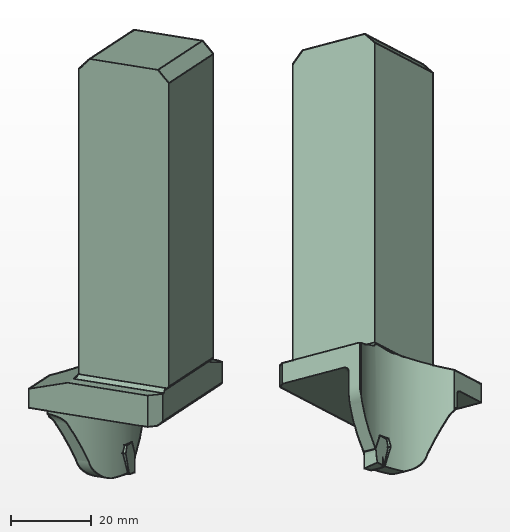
import cadquery as cq
import math

height = 115.6
shank_side = 24.9
shank_x = 11.8
shank_y = 4.0
shank_right = shank_x + shank_side
shank_back = shank_y + shank_side
shank_chamfer = 3.0

head_length = 35.6
head_width = 38.7
head_bottom = 23.5
head_top = 31.7
head_side_height = 28.4
head_back_height = 29.0
head_corner = 2.8
head_bottom_chamfer = 1.0
foot_height = 1.2
foot_left = 1.0
foot_side = 0.7

arc_center_y = 29.5
inner_apex = 11.3
inner_radius = 19.8
outer_apex = 14.99
outer_radius = 19.7
blade_bottom = 0.7
blade_root_fillet = 1.4
nose_flat_x = 9.4
nose_flat_y = 37.9

nose_root = 8.7
nose_start = (nose_root, 19.7)
nose_middle = (11.1, 18.1)
nose_end = (12.3, 16.0)
front_slope_end = (15.4, 6.0)
toe_middle = (17.2, 2.4)
toe_end = (20.6, blade_bottom)
heel_start_height = 4.0
heel_end = (37.0, 13.9)
heel_middle = (38.3, 15.7)
heel_top_height = 17.9

cutting_edge_y = 28.9
insert_inner = 11.3
pocket_inner = 9.8
insert_outer = outer_apex
insert_outline = [(cutting_edge_y, 0), (25.8, 0.5), (25.4, 1.5), (23.8, 6.5), (24.5, 8.4),
                  (27.4, 8.4), (29.1, 4.4), (cutting_edge_y, 3.6)]
lip_start_y = 26.1
lip_top = 3.0
lip_inner = 10.9


def box(x0, x1, y0, y1, z0, z1):
    return cq.Workplane("XY").box(x1 - x0, y1 - y0, z1 - z0, centered=False).translate((x0, y0, z0))


def cylinder(apex, radius, z0, z1):
    """Upright cylinder whose furthest +X point is at the given apex."""
    return (cq.Workplane("XY", origin=(apex - radius, arc_center_y, z0))
            .circle(radius).extrude(z1 - z0))


def make_shank():
    foot_top = head_top + foot_height
    undercut = shank_right - head_length
    profile = [(shank_x, head_top), (head_length, head_top), (head_length, foot_top - undercut / 2),
               (shank_right, foot_top + undercut / 2), (shank_right, height - shank_chamfer),
               (shank_right - shank_chamfer, height), (shank_x + shank_chamfer, height),
               (shank_x, height - shank_chamfer)]
    return (cq.Workplane("XZ", origin=(0, shank_y, 0))
            .polyline(profile).close().extrude(-shank_side))


def make_foot():
    left = shank_x - foot_left
    lower_length = head_length - left
    lower_width = shank_side + 2 * foot_side
    upper_length = head_length - shank_x
    middle_y = shank_y + shank_side / 2
    return (cq.Workplane("XY", origin=(head_length - lower_length / 2, middle_y, head_top))
            .rect(lower_length, lower_width)
            .workplane(offset=foot_height)
            .center((lower_length - upper_length) / 2, 0)
            .rect(upper_length, shank_side).loft(ruled=True))


def make_head():
    slope_end_x = shank_x - foot_left
    slope_end_y = shank_back + foot_side
    front_profile = (cq.Workplane("XZ")
                     .polyline([(0, head_bottom), (head_length - head_bottom_chamfer, head_bottom),
                                (head_length, head_bottom + head_bottom_chamfer), (head_length, head_top),
                                (slope_end_x, head_top), (0, head_side_height)])
                     .close().extrude(-head_width))
    side_profile = (cq.Workplane("YZ")
                    .polyline([(0, head_bottom), (head_width, head_bottom), (head_width, head_back_height),
                               (slope_end_y, head_top), (0, head_top)])
                    .close().extrude(head_length))
    plan = box(0, head_length, 0, head_width, head_bottom, head_top)
    plan = plan.edges("|Z and >X").chamfer(head_corner)
    return front_profile.intersect(side_profile).intersect(plan)


def make_blade():
    outline = (cq.Workplane("YZ")
               .moveTo(nose_root, head_bottom)
               .lineTo(*nose_start)
               .threePointArc(nose_middle, nose_end)
               .lineTo(*front_slope_end)
               .threePointArc(toe_middle, toe_end)
               .lineTo(cutting_edge_y, blade_bottom)
               .lineTo(cutting_edge_y, heel_start_height)
               .lineTo(*heel_end)
               .threePointArc(heel_middle, (head_width, heel_top_height))
               .lineTo(head_width, head_bottom)
               .close().extrude(head_length))
    corridor = box(0, head_length, 0, head_width, 0, head_bottom)
    return cylinder(outer_apex, outer_radius, 0, head_bottom).intersect(outline).intersect(corridor)


def make_blade_root():
    """Concave fillet around the outer wall of the blade, under the head."""
    center_x = outer_apex - outer_radius
    root_bottom = head_bottom - blade_root_fillet
    inset = blade_root_fillet * (1 - math.sqrt(0.5))
    ring = (cq.Workplane("XZ", origin=(center_x, arc_center_y, 0))
            .moveTo(0, root_bottom)
            .lineTo(outer_radius, root_bottom)
            .threePointArc((outer_radius + inset, head_bottom - inset),
                           (outer_radius + blade_root_fillet, head_bottom))
            .lineTo(0, head_bottom)
            .close().revolve(360, (0, 0, 0), (0, 1, 0)))
    return ring.intersect(box(0, head_length, 0, head_width, root_bottom, head_bottom))


def make_hollow():
    """Cylindrical hollow along the whole head, with the small flat at its rear end."""
    flat = box(0, nose_flat_x, nose_flat_y, head_width, 0, head_top)
    return cylinder(inner_apex, inner_radius, 0, head_top + foot_height).union(flat)


def insert_prism(inner_x):
    """Side outline of the insert, extruded from inner_x through the blade wall."""
    return (cq.Workplane("YZ", origin=(inner_x, 0, 0))
            .polyline(insert_outline).close().extrude(insert_outer - inner_x))


def make_lip():
    """Ramp on the inner face that leans out towards the cutting edge."""
    ramp = (cq.Workplane("XZ", origin=(0, lip_start_y, 0))
            .polyline([(insert_inner, lip_top), (lip_inner, 0), (insert_inner, 0)])
            .close().extrude(lip_start_y - cutting_edge_y))
    return ramp.intersect(insert_prism(lip_inner))


def make_clearance():
    """Wedge under the insert: its end face rises from the outer to the inner side."""
    return (cq.Workplane("XZ")
            .polyline([(insert_outer, 0), (lip_inner, blade_bottom), (lip_inner, 0)])
            .close().extrude(-head_width))


holder = make_head().union(make_blade()).union(make_blade_root()).union(make_foot())
holder = holder.cut(make_hollow()).union(make_shank()).cut(insert_prism(pocket_inner))
cutting_insert = insert_prism(insert_inner).union(make_lip()).cut(make_clearance())

result = cq.Compound.makeCompound([*holder.solids().vals(), *cutting_insert.solids().vals()])